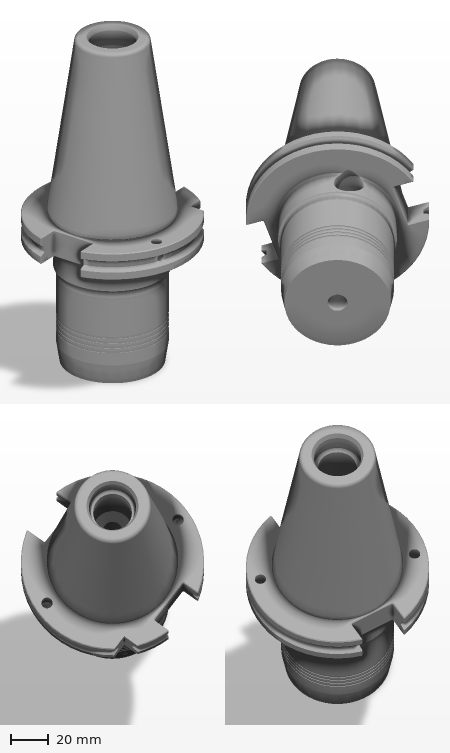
import cadquery as cq
import math


OVERALL_LENGTH = 192.6

GAUGE_RADIUS = 69.85 / 2
TAPER_RATIO = 7 / 24
TAPER_LENGTH = 101.75
TAPER_END_RADIUS = GAUGE_RADIUS - TAPER_LENGTH * TAPER_RATIO / 2
TAPER_END_FILLET = 2.3
GAUGE_BAND_HEIGHT = 1.7
NECK_RADIUS = 34.5

FLANGE_RADIUS = 97.5 / 2
FLANGE_TOP = -2.95
FLANGE_THICKNESS = 15.9
FLANGE_BOTTOM = FLANGE_TOP - FLANGE_THICKNESS
FLANGE_CHAMFER = 0.5
GROOVE_CENTRE = (FLANGE_TOP + FLANGE_BOTTOM) / 2
GROOVE_FLOOR_RADIUS = 45.7
GROOVE_FLOOR_WIDTH = 3.2
GROOVE_FLANK_ANGLE = 30.0
GROOVE_MOUTH_WIDTH = GROOVE_FLOOR_WIDTH + 2 * (FLANGE_RADIUS - GROOVE_FLOOR_RADIUS) * math.tan(
    math.radians(GROOVE_FLANK_ANGLE)
)

BODY_BOTTOM = TAPER_LENGTH - OVERALL_LENGTH
COLLAR_RADIUS = 63.2 / 2
COLLAR_BOTTOM = -34.2
COLLAR_FLARE = 1.1
COLLAR_FILLET = 3.2
BODY_RADIUS = 60.0 / 2
RELIEF_DEPTH = 0.25
RELIEF_RADIUS = BODY_RADIUS - RELIEF_DEPTH
RELIEF_TOP = -37.1
RELIEF_TAPER_START = -37.6
RELIEF_BOTTOM = -39.2
NOSE_START = -79.3
NOSE_RADIUS = 56.4 / 2

GRIP_COUNT = 4
GRIP_TOP = -62.2
GRIP_WIDTH = 1.4
GRIP_PITCH = 2 * GRIP_WIDTH
GRIP_DEPTH = 0.3

BORE_MOUTH_RADIUS = 13.8
BORE_RADIUS = 12.6
BORE_MOUTH_DEPTH = 2.6
BORE_DEPTH = 8.3
BORE_NECK_RADIUS = 12.3
BORE_NECK_DEPTH = 11.3
THREAD_RADIUS = 10.3
DRILL_POINT_HALF_ANGLE = 59.0
THREAD_DEPTH = 45.0
THROUGH_RADIUS = 5.3

SLOT_WIDTH = 25.7
SLOT_FLOOR_FRONT = 35.3
SLOT_FLOOR_BACK = 37.2
SLOT_CORNER_FILLET = 0.6
NOTCH_CORNER = 29.7

COOLANT_ANGLES = (160.0, 340.0)
COOLANT_CIRCLE_RADIUS = 41.8
COOLANT_RADIUS = 3.0
COOLANT_FEED_RADIUS = 2.1

SCREW_RADIUS = 7.25
SCREW_Y = -15.1
SCREW_TILT = 20.0
SCREW_POINT_HALF_ANGLE = 45.0
SCREW_MOUTH_Z = -25.3
SCREW_DEPTH = 5.0

MARGIN = 20.0


def drill_tip(radius, half_angle):
    """Height of a cone that narrows by the given radius."""
    return radius / math.tan(math.radians(half_angle))


def revolve_profile(profile):
    """Ring or solid turned about the Z axis from an open XZ outline."""
    return profile.close().revolve(360, (0, 0, 0), (0, 1, 0))


def make_blank():
    """Turned outside shape of the holder without its flange."""
    profile = (
        cq.Workplane("XZ")
        .moveTo(0, BODY_BOTTOM)
        .lineTo(NOSE_RADIUS, BODY_BOTTOM)
        .lineTo(BODY_RADIUS, NOSE_START)
        .lineTo(BODY_RADIUS, RELIEF_BOTTOM)
        .lineTo(RELIEF_RADIUS, RELIEF_TAPER_START)
        .lineTo(RELIEF_RADIUS, RELIEF_TOP)
        .radiusArc((COLLAR_RADIUS, COLLAR_BOTTOM), COLLAR_FILLET)
        .lineTo(COLLAR_RADIUS, FLANGE_BOTTOM - COLLAR_FLARE)
        .lineTo(COLLAR_RADIUS + COLLAR_FLARE, FLANGE_BOTTOM)
        .lineTo(NECK_RADIUS, FLANGE_BOTTOM)
        .lineTo(NECK_RADIUS, -GAUGE_BAND_HEIGHT - (GAUGE_RADIUS - NECK_RADIUS))
        .lineTo(GAUGE_RADIUS, -GAUGE_BAND_HEIGHT)
        .lineTo(GAUGE_RADIUS, 0)
        .lineTo(TAPER_END_RADIUS, TAPER_LENGTH)
        .lineTo(0, TAPER_LENGTH)
    )
    return revolve_profile(profile).faces(">Z").edges().fillet(TAPER_END_FILLET)


def make_gripper_groove():
    """Trapezoidal ring cut into the rim of the flange."""
    profile = (
        cq.Workplane("XZ")
        .moveTo(FLANGE_RADIUS, GROOVE_CENTRE - GROOVE_MOUTH_WIDTH / 2)
        .lineTo(GROOVE_FLOOR_RADIUS, GROOVE_CENTRE - GROOVE_FLOOR_WIDTH / 2)
        .lineTo(GROOVE_FLOOR_RADIUS, GROOVE_CENTRE + GROOVE_FLOOR_WIDTH / 2)
        .lineTo(FLANGE_RADIUS, GROOVE_CENTRE + GROOVE_MOUTH_WIDTH / 2)
    )
    return revolve_profile(profile)


def make_grip_groove(index):
    """Shallow rectangular ring cut into the clamping body."""
    bottom = GRIP_TOP - index * GRIP_PITCH - GRIP_WIDTH
    return (
        cq.Workplane("XY", origin=(0, 0, bottom))
        .circle(BODY_RADIUS + MARGIN)
        .circle(BODY_RADIUS - GRIP_DEPTH)
        .extrude(GRIP_WIDTH)
    )


def make_bore():
    """Stepped bore from the small end, running out into the through hole."""
    thread_start = BORE_NECK_DEPTH + drill_tip(BORE_NECK_RADIUS - THREAD_RADIUS, DRILL_POINT_HALF_ANGLE)
    cone_end = THREAD_DEPTH + drill_tip(THREAD_RADIUS - THROUGH_RADIUS, DRILL_POINT_HALF_ANGLE)
    profile = (
        cq.Workplane("XZ")
        .moveTo(0, TAPER_LENGTH)
        .lineTo(BORE_MOUTH_RADIUS, TAPER_LENGTH)
        .lineTo(BORE_RADIUS, TAPER_LENGTH - BORE_MOUTH_DEPTH)
        .lineTo(BORE_RADIUS, TAPER_LENGTH - BORE_DEPTH)
        .lineTo(BORE_NECK_RADIUS, TAPER_LENGTH - BORE_NECK_DEPTH)
        .lineTo(THREAD_RADIUS, TAPER_LENGTH - thread_start)
        .lineTo(THREAD_RADIUS, TAPER_LENGTH - THREAD_DEPTH)
        .lineTo(THROUGH_RADIUS, TAPER_LENGTH - cone_end)
        .lineTo(THROUGH_RADIUS, BODY_BOTTOM)
        .lineTo(0, BODY_BOTTOM)
    )
    return revolve_profile(profile)


def make_slot(floor, side):
    """Drive slot through the flange; side is -1 for -Y and +1 for +Y."""
    depth = FLANGE_RADIUS + MARGIN - floor
    return (
        cq.Workplane("XY", origin=(0, side * (floor + depth / 2), GROOVE_CENTRE))
        .box(SLOT_WIDTH, depth, FLANGE_THICKNESS)
        .edges("|Z")
        .fillet(SLOT_CORNER_FILLET)
    )


def make_notch():
    """Square corner cut through the flange in the +X +Y quadrant."""
    return cq.Workplane("XY", origin=(NOTCH_CORNER, NOTCH_CORNER, FLANGE_BOTTOM)).box(
        MARGIN, MARGIN, FLANGE_THICKNESS, centered=False
    )


def make_flange():
    """Slotted disc with chamfered edges, the sharp notch and the gripper groove."""
    disc = (
        cq.Workplane("XY", origin=(0, 0, FLANGE_BOTTOM))
        .circle(FLANGE_RADIUS)
        .extrude(FLANGE_THICKNESS)
        .cut(make_slot(SLOT_FLOOR_FRONT, -1))
        .cut(make_slot(SLOT_FLOOR_BACK, 1))
    )
    slot_mouths = cq.selectors.BoxSelector(
        (-SLOT_WIDTH, -FLANGE_RADIUS, FLANGE_BOTTOM),
        (SLOT_WIDTH, -GROOVE_FLOOR_RADIUS, FLANGE_TOP),
    ) + cq.selectors.BoxSelector(
        (-SLOT_WIDTH, GROOVE_FLOOR_RADIUS, FLANGE_BOTTOM),
        (SLOT_WIDTH, FLANGE_RADIUS, FLANGE_TOP),
    )
    chamfered_edges = disc.faces("<Z or >Z").edges().add(disc.edges("|Z").edges(slot_mouths))
    return chamfered_edges.chamfer(FLANGE_CHAMFER).cut(make_notch()).cut(make_gripper_groove())


def make_pointed_hole(start, direction, radius, depth, half_angle):
    """Drilled hole with a conical end, cut along direction from start."""
    axis = cq.Vector(*direction).normalized()
    origin = cq.Vector(*start)
    tip = drill_tip(radius, half_angle)
    shaft = cq.Solid.makeCylinder(radius, depth, origin, axis)
    point = cq.Solid.makeCone(radius, 0, tip, origin + axis * depth, axis)
    return cq.Workplane(obj=shaft.fuse(point))


def make_coolant_hole(angle):
    """Vertical hole from the flange top met by a radial hole from the groove floor."""
    cosine = math.cos(math.radians(angle))
    sine = math.sin(math.radians(angle))
    vertical = make_pointed_hole(
        (COOLANT_CIRCLE_RADIUS * cosine, COOLANT_CIRCLE_RADIUS * sine, FLANGE_TOP),
        (0, 0, -1),
        COOLANT_RADIUS,
        FLANGE_TOP - GROOVE_CENTRE,
        DRILL_POINT_HALF_ANGLE,
    )
    radial = make_pointed_hole(
        (FLANGE_RADIUS * cosine, FLANGE_RADIUS * sine, GROOVE_CENTRE),
        (-cosine, -sine, 0),
        COOLANT_FEED_RADIUS,
        FLANGE_RADIUS - COOLANT_CIRCLE_RADIUS,
        DRILL_POINT_HALF_ANGLE,
    )
    return vertical.union(radial)


def make_screw_hole():
    """Actuation screw hole entering the collar from -X and rising inwards."""
    tilt = math.radians(SCREW_TILT)
    direction = (math.cos(tilt), 0, math.sin(tilt))
    mouth_x = -math.sqrt(COLLAR_RADIUS**2 - SCREW_Y**2)
    start = (mouth_x - MARGIN * direction[0], SCREW_Y, SCREW_MOUTH_Z - MARGIN * direction[2])
    return make_pointed_hole(start, direction, SCREW_RADIUS, MARGIN + SCREW_DEPTH, SCREW_POINT_HALF_ANGLE)


result = make_blank().union(make_flange())
for groove in range(GRIP_COUNT):
    result = result.cut(make_grip_groove(groove))
result = result.cut(make_bore())
for coolant_angle in COOLANT_ANGLES:
    result = result.cut(make_coolant_hole(coolant_angle))
result = result.cut(make_screw_hole())